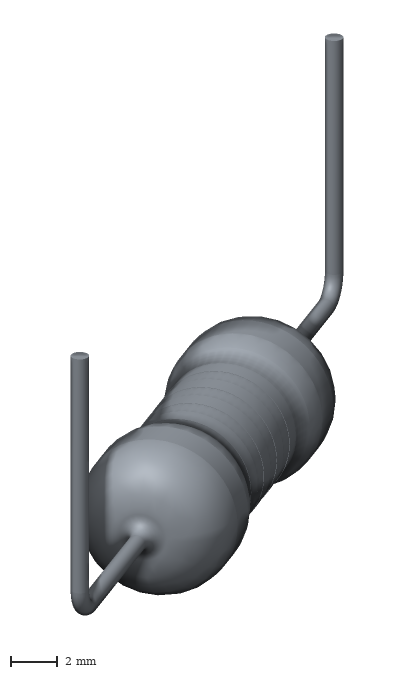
import cadquery as cq
import math

overall_length = 35.8
lead_diameter = 0.8
lead_radius = lead_diameter / 2
lead_bend_radius = 1.18
lead_top = 12.1
lead_offset = overall_length / 2 - lead_radius

body_half_length = 9.0
bulb_radius = 7.0 / 2
waist_radius = 5.95 / 2
cap_round = 2.45
shoulder_start = 5.12
shoulder_inflection = 4.15

flare_radius = bulb_radius - cap_round - lead_radius

band_diameter = 5.98
band_count = 4
waist_half_length = 3.08
band_width = 2 * waist_half_length / (2 * band_count - 1)


def profile_arc(profile, center, radius, start_angle, end_angle):
    """Add an arc to the (radius, y) profile, with angles in degrees."""
    middle, end = [
        (center[0] + radius * math.cos(math.radians(angle)),
         center[1] + radius * math.sin(math.radians(angle)))
        for angle in ((start_angle + end_angle) / 2, end_angle)
    ]
    return profile.threePointArc(middle, end)


def make_disc(radius, width, center_y):
    """Disc around the Y axis, centred at the given Y."""
    start = cq.Workplane("XZ", origin=(0, center_y + width / 2, 0))
    return start.circle(radius).extrude(width)


def make_body():
    """Join a cylindrical waist to two mirrored bulbs revolved about Y."""
    shoulder_length = shoulder_start - waist_half_length
    shoulder_slope = (bulb_radius - waist_radius) / shoulder_length
    chord_angle = math.degrees(math.atan(shoulder_slope))
    sweep = 2 * chord_angle
    concave_radius = (shoulder_inflection - waist_half_length) / math.sin(math.radians(sweep))
    convex_radius = (shoulder_start - shoulder_inflection) / math.sin(math.radians(sweep))

    cap_start = body_half_length - cap_round
    flare_end = body_half_length + flare_radius

    profile = cq.Workplane("XY").moveTo(0, waist_half_length).lineTo(waist_radius, waist_half_length)
    concave_center = (waist_radius + concave_radius, waist_half_length)
    profile = profile_arc(profile, concave_center, concave_radius, 180, 180 - sweep)
    convex_center = (bulb_radius - convex_radius, shoulder_start)
    profile = profile_arc(profile, convex_center, convex_radius, -sweep, 0)
    profile = profile.lineTo(bulb_radius, cap_start)
    profile = profile_arc(profile, (bulb_radius - cap_round, cap_start), cap_round, 0, 90)
    profile = profile_arc(profile, (lead_radius + flare_radius, flare_end), flare_radius, 270, 180)
    bulb = profile.lineTo(0, flare_end).close().revolve(360, (0, 0), (0, 1))
    waist = make_disc(waist_radius, 2 * waist_half_length, 0)
    return waist.union(bulb).union(bulb.mirror("XZ"))


def make_leads():
    """One continuous wire through the body, bent up at both ends."""
    bend_start = lead_offset - lead_bend_radius
    bend_middle_y = bend_start + lead_bend_radius * math.sin(math.radians(45))
    bend_middle_z = lead_bend_radius * (1 - math.cos(math.radians(45)))
    path = (
        cq.Workplane("YZ")
        .moveTo(-lead_offset, lead_top)
        .lineTo(-lead_offset, lead_bend_radius)
        .threePointArc((-bend_middle_y, bend_middle_z), (-bend_start, 0))
        .lineTo(bend_start, 0)
        .threePointArc((bend_middle_y, bend_middle_z), (lead_offset, lead_bend_radius))
        .lineTo(lead_offset, lead_top)
    )
    section = cq.Workplane("XY", origin=(0, -lead_offset, lead_top)).circle(lead_radius)
    return section.sweep(path)


result = make_body()
for index in range(band_count):
    band_y = (2 * index - (band_count - 1)) * band_width
    result = result.union(make_disc(band_diameter / 2, band_width, band_y))
result = result.union(make_leads())